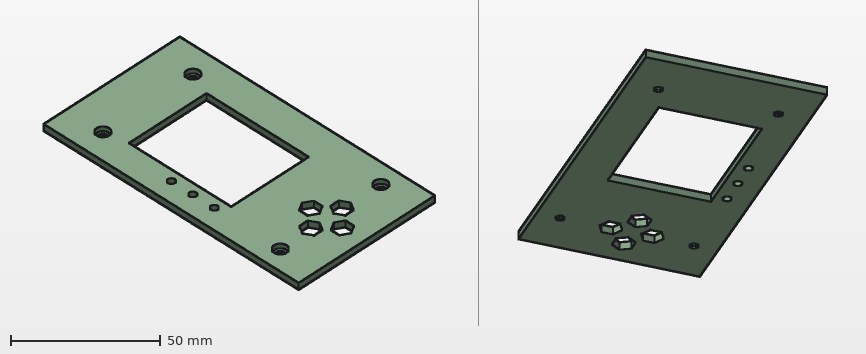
import cadquery as cq

plate_length = 120.0
plate_width = 65.0
plate_thickness = 3.0

window_length = 48.0
window_width = 37.0
window_left = 27.5
window_bottom = 13.0

screw_diameter = 3.0
counterbore_diameter = 5.6
counterbore_depth = 2.0
left_screw_x = 17.0
left_screw_y = 11.0
left_screw_spacing = 43.0
right_screw_x = 103.0
right_screw_y = 8.5
right_screw_spacing = 48.0
screw_points = [
    (left_screw_x, left_screw_y),
    (left_screw_x, left_screw_y + left_screw_spacing),
    (right_screw_x, right_screw_y),
    (right_screw_x, right_screw_y + right_screw_spacing),
]

small_hole_diameter = 3.0
small_hole_count = 3
small_hole_spacing = 10.1
first_small_hole_x = 51.7
small_hole_y = right_screw_y
small_hole_points = [
    (first_small_hole_x + i * small_hole_spacing, small_hole_y) for i in range(small_hole_count)
]

button_corner_diameter = 8.0
button_center_x = 102.5
button_center_y = 31.1
button_offset = 7.5
button_count = 4
hexagon_sides = 6


def button_openings():
    """Hexagonal prisms, made by turning one button around the cross centre."""
    button = (
        cq.Workplane("XY")
        .center(button_offset, 0)
        .polygon(hexagon_sides, button_corner_diameter)
        .extrude(plate_thickness)
    )
    cross = cq.Workplane("XY")
    for i in range(button_count):
        cross = cross.add(button.rotate((0, 0, 0), (0, 0, 1), i * 360 / button_count))
    return cross.combine().translate((button_center_x, button_center_y, 0))


plate = cq.Workplane("XY").box(plate_length, plate_width, plate_thickness, centered=False)

window = (
    cq.Workplane("XY")
    .box(window_length, window_width, plate_thickness, centered=False)
    .translate((window_left, window_bottom, 0))
)

top_plane = cq.Workplane("XY", origin=(0, 0, plate_thickness))
screw_holes = top_plane.pushPoints(screw_points).circle(screw_diameter / 2).extrude(-plate_thickness)
counterbores = top_plane.pushPoints(screw_points).circle(counterbore_diameter / 2).extrude(-counterbore_depth)
small_holes = top_plane.pushPoints(small_hole_points).circle(small_hole_diameter / 2).extrude(-plate_thickness)

result = (
    plate.cut(window)
    .cut(screw_holes)
    .cut(counterbores)
    .cut(small_holes)
    .cut(button_openings())
)